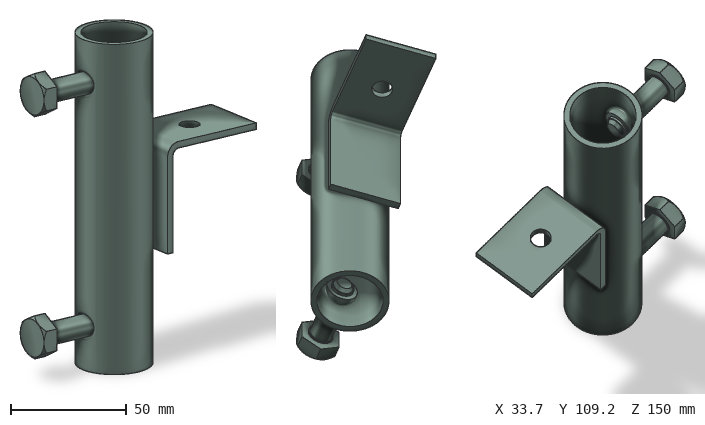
import cadquery as cq
import math

TUBE_LENGTH = 150.0
TUBE_OUTER_RADIUS = 33.7 / 2
TUBE_WALL = 2.6
TUBE_INNER_RADIUS = TUBE_OUTER_RADIUS - TUBE_WALL

BOLT_END_DISTANCE = 20.0
BOLT_HEIGHTS = (BOLT_END_DISTANCE, TUBE_LENGTH - BOLT_END_DISTANCE)
COLLAR_RADIUS = 7.0
COLLAR_DEPTH = 4.3
COLLAR_TIP_Y = COLLAR_DEPTH - TUBE_INNER_RADIUS
COLLAR_ROOT_FILLET = 0.95
HOLE_RIM_FILLET = 1.5

BOLT_RADIUS = 5.0
BOLT_HEAD_PROJECTION = 27.55
BOLT_HEAD_Y = -TUBE_OUTER_RADIUS - BOLT_HEAD_PROJECTION
HEX_WIDTH = 17.0
HEX_CORNER_RADIUS = HEX_WIDTH / math.sqrt(3)
HEX_HEIGHT = 7.0
HEX_FACE_TO_WIDTH = 0.995
HEX_FACE_RADIUS = HEX_FACE_TO_WIDTH * HEX_WIDTH / 2
HEX_CHAMFER_ANGLE = 45.0
WASHER_FACE_RADIUS = 5.6
WASHER_FACE_HEIGHT = 0.4
SHANK_LENGTH = 28.6
SHANK_END_Y = BOLT_HEAD_Y + HEX_HEIGHT + SHANK_LENGTH
POINT_LENGTH = 1.9
POINT_BASE_RADIUS = 4.5
POINT_TIP_RADIUS = 3.4

BRACKET_WIDTH = 32.0
BRACKET_THICKNESS = 3.0
BRACKET_BEND_RADIUS = 6.0
BRACKET_REACH = 48.0
BRACKET_HEIGHT = 50.0
BRACKET_TOP_Z = 100.0
BRACKET_HOLE_DIAMETER = 9.0
BRACKET_HOLE_DISTANCE = 24.0


def cylinder_along_y(radius, start_y, end_y, height):
    """Solid cylinder parallel to Y, centred on X = 0 at the given Z height."""
    plane = cq.Plane(origin=(0, start_y, height), xDir=(1, 0, 0), normal=(0, 1, 0))
    return cq.Workplane(plane).circle(radius).extrude(end_y - start_y)


def edges_around_hole(body, radius, wall_radius, height):
    """Edges where a Y-parallel cylinder of this radius meets a round wall in front."""
    side_y = -math.sqrt(wall_radius**2 - radius**2)
    margin = 0.1
    box = cq.selectors.BoxSelector(
        (-radius - margin, -wall_radius - margin, height - radius - margin),
        (radius + margin, side_y + margin, height + radius + margin),
        boundingbox=True,
    )
    return body.edges(box)


def make_tube():
    """Round tube with a bored collar inside its front wall at each bolt height."""
    tube = cq.Workplane("XY").circle(TUBE_OUTER_RADIUS).circle(TUBE_INNER_RADIUS).extrude(TUBE_LENGTH)
    mid_wall_radius = TUBE_OUTER_RADIUS - TUBE_WALL / 2
    mid_wall_cylinder = cq.Workplane("XY").circle(mid_wall_radius).extrude(TUBE_LENGTH)
    for height in BOLT_HEIGHTS:
        collar = cylinder_along_y(COLLAR_RADIUS, -TUBE_OUTER_RADIUS, COLLAR_TIP_Y, height)
        tube = tube.union(collar.intersect(mid_wall_cylinder))
        tube = edges_around_hole(tube, COLLAR_RADIUS, TUBE_INNER_RADIUS, height).fillet(COLLAR_ROOT_FILLET)
        tube = tube.cut(cylinder_along_y(BOLT_RADIUS, -TUBE_OUTER_RADIUS, COLLAR_TIP_Y, height))
        tube = edges_around_hole(tube, BOLT_RADIUS, TUBE_OUTER_RADIUS, height).fillet(HOLE_RIM_FILLET)
    return tube


def make_bolt(height):
    """Hexagon bolt at the given Z height: chamfered head, washer face, shank and tapered point."""
    hex_back_y = BOLT_HEAD_Y + HEX_HEIGHT
    washer_face_y = hex_back_y + WASHER_FACE_HEIGHT
    chamfer_length = (HEX_CORNER_RADIUS - HEX_FACE_RADIUS) * math.tan(math.radians(HEX_CHAMFER_ANGLE))

    front = cq.Plane(origin=(0, BOLT_HEAD_Y, height), xDir=(0, 0, 1), normal=(0, 1, 0))
    hexagon = cq.Workplane(front).polygon(6, 2 * HEX_CORNER_RADIUS).extrude(HEX_HEIGHT)
    side = cq.Workplane("XY", origin=(0, 0, height))
    chamfered_blank = (
        side.moveTo(0, BOLT_HEAD_Y)
        .lineTo(HEX_FACE_RADIUS, BOLT_HEAD_Y)
        .lineTo(HEX_CORNER_RADIUS, BOLT_HEAD_Y + chamfer_length)
        .lineTo(HEX_CORNER_RADIUS, hex_back_y)
        .lineTo(0, hex_back_y)
        .close()
        .revolve(360, (0, 0, 0), (0, 1, 0))
    )
    shank = (
        side.moveTo(0, hex_back_y)
        .lineTo(WASHER_FACE_RADIUS, hex_back_y)
        .lineTo(WASHER_FACE_RADIUS, washer_face_y)
        .lineTo(BOLT_RADIUS, washer_face_y)
        .lineTo(BOLT_RADIUS, SHANK_END_Y)
        .lineTo(POINT_BASE_RADIUS, SHANK_END_Y)
        .lineTo(POINT_TIP_RADIUS, SHANK_END_Y + POINT_LENGTH)
        .lineTo(0, SHANK_END_Y + POINT_LENGTH)
        .close()
        .revolve(360, (0, 0, 0), (0, 1, 0))
    )
    return hexagon.intersect(chamfered_blank).union(shank)


def make_bracket():
    """Right-angle plate with a bent corner and one hole in its horizontal leg."""
    front_y = TUBE_OUTER_RADIUS
    end_y = front_y + BRACKET_REACH
    bottom_z = BRACKET_TOP_Z - BRACKET_HEIGHT
    bracket = (
        cq.Workplane("YZ")
        .moveTo(front_y, bottom_z)
        .lineTo(front_y, BRACKET_TOP_Z - BRACKET_BEND_RADIUS)
        .radiusArc((front_y + BRACKET_BEND_RADIUS, BRACKET_TOP_Z), BRACKET_BEND_RADIUS)
        .lineTo(end_y, BRACKET_TOP_Z)
        .lineTo(end_y, BRACKET_TOP_Z - BRACKET_THICKNESS)
        .lineTo(front_y + BRACKET_BEND_RADIUS, BRACKET_TOP_Z - BRACKET_THICKNESS)
        .radiusArc(
            (front_y + BRACKET_THICKNESS, BRACKET_TOP_Z - BRACKET_BEND_RADIUS),
            BRACKET_THICKNESS - BRACKET_BEND_RADIUS,
        )
        .lineTo(front_y + BRACKET_THICKNESS, bottom_z)
        .close()
        .extrude(BRACKET_WIDTH / 2, both=True)
    )
    hole = (
        cq.Workplane("XY", origin=(0, front_y + BRACKET_HOLE_DISTANCE, bottom_z))
        .circle(BRACKET_HOLE_DIAMETER / 2)
        .extrude(BRACKET_HEIGHT)
    )
    return bracket.cut(hole)


tube = make_tube()
bolts = [make_bolt(height) for height in BOLT_HEIGHTS]
bracket = make_bracket()

result = cq.Compound.makeCompound([tube.val(), bracket.val(), *[bolt.val() for bolt in bolts]])